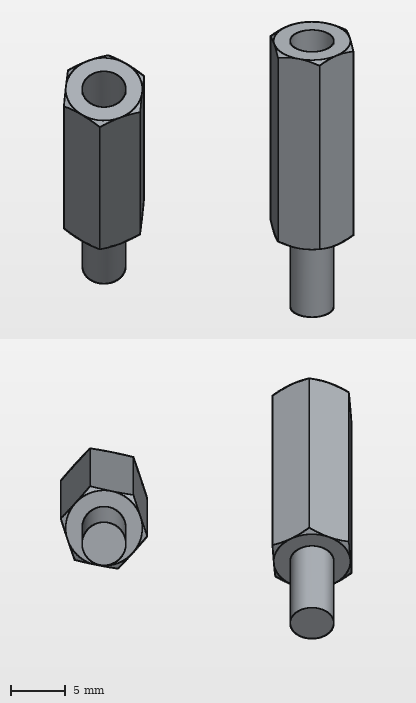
import cadquery as cq
import math

TOTAL_LENGTH = 28.0
HEX_LENGTH = 20.0
ACROSS_FLATS = 7.0
THREAD_DIAMETER = 4.0
CHAMFER_ANGLE = 30.0

STUD_LENGTH = TOTAL_LENGTH - HEX_LENGTH
BORE_DEPTH = STUD_LENGTH
ACROSS_CORNERS = ACROSS_FLATS / math.cos(math.radians(30))
FLAT_RADIUS = ACROSS_FLATS / 2
CORNER_RADIUS = ACROSS_CORNERS / 2
CHAMFER_DROP = (CORNER_RADIUS - FLAT_RADIUS) * math.tan(math.radians(CHAMFER_ANGLE))


def make_chamfer_envelope():
    """Round bar with coned ends; it trims the hexagon's corners."""
    top = STUD_LENGTH + HEX_LENGTH
    return (
        cq.Workplane("XZ")
        .moveTo(0, STUD_LENGTH)
        .lineTo(FLAT_RADIUS, STUD_LENGTH)
        .lineTo(CORNER_RADIUS, STUD_LENGTH + CHAMFER_DROP)
        .lineTo(CORNER_RADIUS, top - CHAMFER_DROP)
        .lineTo(FLAT_RADIUS, top)
        .lineTo(0, top)
        .close()
        .revolve(360, (0, 0, 0), (0, 1, 0))
    )


def make_hex_body():
    """Hexagonal spacer, corners along Y, with a blind bore in its top."""
    bar = (
        cq.Workplane("XY")
        .workplane(offset=STUD_LENGTH)
        .transformed(rotate=(0, 0, 90))
        .polygon(6, ACROSS_CORNERS)
        .extrude(HEX_LENGTH)
    )
    bore = (
        cq.Workplane("XY")
        .workplane(offset=TOTAL_LENGTH - BORE_DEPTH)
        .circle(THREAD_DIAMETER / 2)
        .extrude(BORE_DEPTH)
    )
    return bar.intersect(make_chamfer_envelope()).cut(bore).solids()


def make_stud():
    """Plain stud that meets the lower face of the hexagonal spacer."""
    return cq.Workplane("XY").circle(THREAD_DIAMETER / 2).extrude(STUD_LENGTH)


hex_body = make_hex_body()
stud = make_stud()
result = cq.Compound.makeCompound([hex_body.val(), stud.val()])